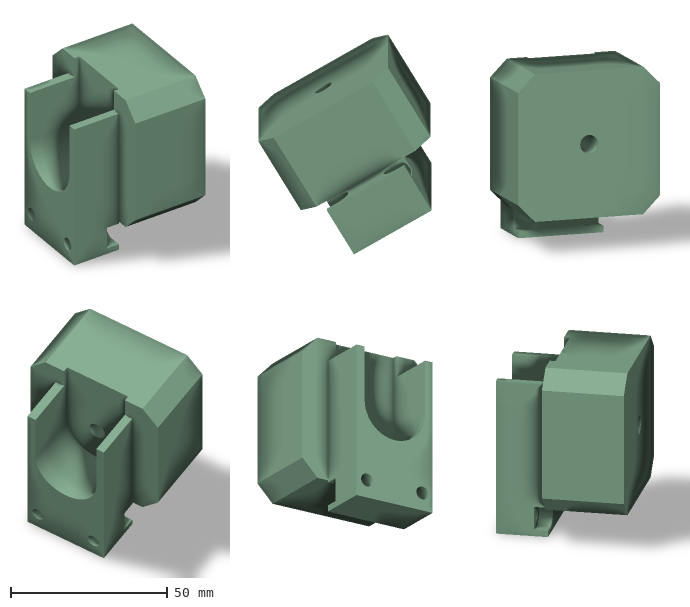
import cadquery as cq

block_side = 48.3
block_depth = 26.8
block_chamfer = 5.8

overall_height = 59.05
overall_depth = 43.85
bracket_width = 28.9
bracket_top_drop = 7.2
bracket_depth = overall_depth - block_depth

channel_width = 23.0
channel_offset_x = 0.1
channel_bottom_drop = 37.1
channel_block_depth = 1.9

center_hole_diameter = 6.0

mount_hole_diameter = 4.4
mount_hole_spacing = 21.0
mount_hole_height = 6.0
pocket_height = 7.85
pocket_depth = 4.55

block_bottom = overall_height - block_side
block_center_z = block_bottom + block_side / 2


def box(width, depth, height, x, y, z):
    """Box centered on x, with its front face at y and its bottom at z."""
    return cq.Workplane("XY").box(width, depth, height, centered=(True, False, False)).translate((x, y, z))


def cylinder(diameter, depth, x, y, z):
    """Cylinder along +Y that starts at y."""
    return cq.Workplane("XZ", origin=(x, y, z)).circle(diameter / 2).extrude(-depth)


def block():
    body = box(block_side, block_depth, block_side, 0, 0, block_bottom)
    return body.edges("|Y").chamfer(block_chamfer)


def bracket():
    height = overall_height - bracket_top_drop
    return box(bracket_width, bracket_depth, height, 0, -bracket_depth, 0)


def channel():
    depth = bracket_depth + channel_block_depth
    arc_center_z = overall_height - channel_bottom_drop + channel_width / 2
    straight_height = overall_height - arc_center_z
    straight = box(channel_width, depth, straight_height, channel_offset_x, -bracket_depth, arc_center_z)
    return straight.union(cylinder(channel_width, depth, channel_offset_x, -bracket_depth, arc_center_z))


def nut_pocket(side):
    """Pocket around a mounting hole, rounded inward and open toward the given side (-1 or 1)."""
    hole_x = side * mount_hole_spacing / 2
    run = bracket_width / 2 - mount_hole_spacing / 2
    rounded_end = cylinder(pocket_height, pocket_depth, hole_x, -pocket_depth, mount_hole_height)
    opening = box(
        run,
        pocket_depth,
        pocket_height,
        hole_x + side * run / 2,
        -pocket_depth,
        mount_hole_height - pocket_height / 2,
    )
    return rounded_end.union(opening)


result = block().union(bracket()).cut(channel())
result = result.cut(cylinder(center_hole_diameter, block_depth, 0, 0, block_center_z))
for side in (-1, 1):
    mount_x = side * mount_hole_spacing / 2
    result = result.cut(cylinder(mount_hole_diameter, bracket_depth, mount_x, -bracket_depth, mount_hole_height))
    result = result.cut(nut_pocket(side))